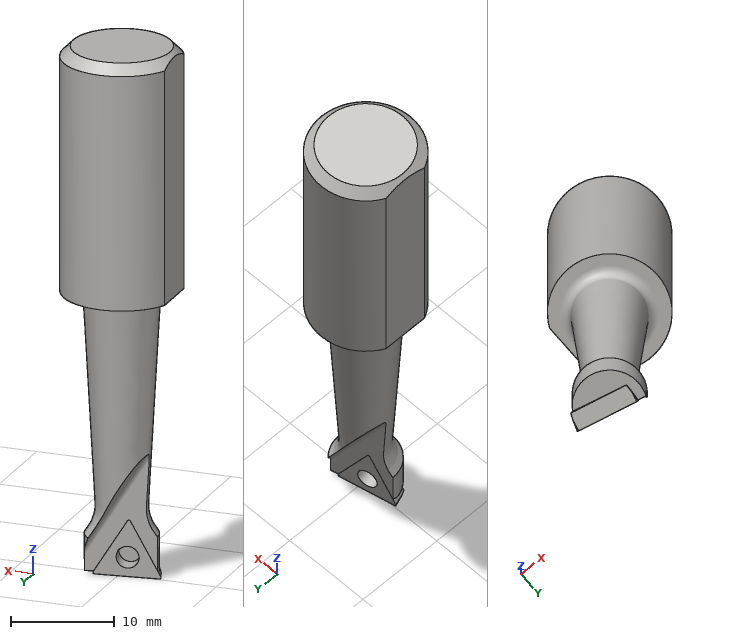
import cadquery as cq
import math

total_length = 54.05
shank_radius = 6.0
shank_flat_x = -5.4
shank_bottom_z = 29.05
shank_chamfer = 1.0
neck_top_radius = 3.75
neck_fillet = 1.0
neck_bottom_radius = 2.6
neck_bottom_z = 7.4
flare_radius = 3.15
flare_bottom_z = 5.1
head_radius = 3.6
head_top_z = 4.3
head_bottom_z = 0.55

rake_angle = 13
floor_y_on_axis = 0.75
wall_start_x = -2.7
wall_start_z = 12.65
wall_end_x = 3.35
wall_end_z = 2.15
wall_turn = 10
wall_turn_y = 0.85
gullet_fillet = 0.45

insert_side = 6.85
insert_thickness = 1.9
insert_clearance = 7
insert_nose_radius = 0.15
insert_hole_diameter = 2.2
insert_centre_x = -0.8
insert_centre_z = 2.1
insert_tilt = 2

rake_slope = math.tan(math.radians(rake_angle))


def floor_y(x):
    """Y of the rake floor at a given X."""
    return floor_y_on_axis + rake_slope * x


rake_plane = cq.Plane(
    origin=(insert_centre_x, floor_y(insert_centre_x), insert_centre_z),
    xDir=(1, rake_slope, 0),
    normal=(rake_slope, -1, 0),
).rotated((0, 0, insert_tilt))


def insert_prism():
    """Triangle with rounded corners, narrowing with depth; also the seat shape."""
    corner_distance = insert_side / math.sqrt(3)
    corners = [
        (
            corner_distance * math.cos(math.radians(angle)),
            corner_distance * math.sin(math.radians(angle)),
        )
        for angle in (90, 210, 330)
    ]
    triangle = cq.Sketch().polygon(corners + corners[:1]).vertices().fillet(insert_nose_radius)
    return (
        cq.Workplane(rake_plane)
        .placeSketch(triangle)
        .extrude(insert_thickness, taper=insert_clearance)
    )


def revolved_bar():
    """Shank, neck and head turned about Z."""
    fillet_outer_radius = neck_top_radius + neck_fillet
    fillet_bottom_z = shank_bottom_z - neck_fillet
    fillet_middle = neck_fillet * (1 - math.sqrt(0.5))
    return (
        cq.Workplane("XZ")
        .moveTo(0, total_length)
        .lineTo(shank_radius - shank_chamfer, total_length)
        .lineTo(shank_radius, total_length - shank_chamfer)
        .lineTo(shank_radius, shank_bottom_z)
        .lineTo(fillet_outer_radius, shank_bottom_z)
        .threePointArc(
            (neck_top_radius + fillet_middle, shank_bottom_z - fillet_middle),
            (neck_top_radius, fillet_bottom_z),
        )
        .lineTo(neck_bottom_radius, neck_bottom_z)
        .tangentArcPoint((flare_radius, flare_bottom_z), relative=False)
        .lineTo(head_radius, head_top_z)
        .lineTo(head_radius, head_bottom_z)
        .lineTo(0, head_bottom_z)
        .close()
        .revolve(360, (0, 0, 0), (0, 1, 0))
    )


def shank_flat():
    """Block that leaves the clamping flat on the -X side of the shank."""
    return (
        cq.Workplane("XY", origin=(shank_flat_x, 0, shank_bottom_z))
        .rect(2 * shank_radius, 2 * shank_radius)
        .extrude(total_length - shank_bottom_z)
        .translate((-shank_radius, 0, 0))
    )


def chip_gullet():
    """Space above the rake floor and on the -X side of the sloping wall."""
    reach = 2 * head_radius
    wall_slope = (wall_end_x - wall_start_x) / (wall_end_z - wall_start_z)
    wall_low_x = wall_end_x + wall_slope * (-reach - wall_end_z)
    wall_high_z = wall_end_z + (-reach - wall_end_x) / wall_slope
    beside_wall = (
        cq.Workplane("XZ")
        .polyline([(-reach, -reach), (wall_low_x, -reach), (-reach, wall_high_z)])
        .close()
        .extrude(reach, both=True)
        .rotate((wall_start_x, wall_turn_y, 0), (wall_start_x, wall_turn_y, 1), -wall_turn)
    )
    above_floor = (
        cq.Workplane("XY", origin=(0, 0, -reach))
        .polyline([
            (-reach, floor_y(-reach)),
            (wall_low_x, floor_y(wall_low_x)),
            (wall_low_x, reach),
            (-reach, reach),
        ])
        .close()
        .extrude(wall_high_z + reach)
    )
    gullet = beside_wall.intersect(above_floor)
    corner_point = (wall_start_x, floor_y(wall_start_x), wall_start_z)
    return gullet.edges(cq.selectors.NearestToPointSelector(corner_point)).fillet(gullet_fillet)


def make_bar():
    return revolved_bar().cut(shank_flat()).cut(chip_gullet()).cut(insert_prism())


def make_insert():
    hole = (
        cq.Workplane(rake_plane)
        .circle(insert_hole_diameter / 2)
        .extrude(insert_thickness)
    )
    return insert_prism().cut(hole)


bar = make_bar()
insert = make_insert()

result = cq.Compound.makeCompound([bar.val(), insert.val()])